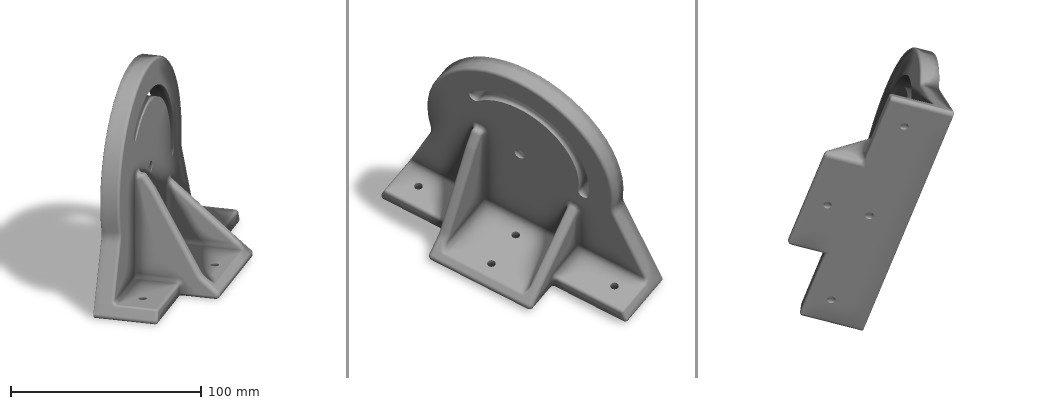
import cadquery as cq
import math

plate_thickness = 10.5
flange_depth = 35.0
flange_thickness = 8.0
pivot_y = -5.9
pivot_z = 60.0
disc_radius = 58.8
base_length = 155.1
flank_left_angle = 27.3
flank_right_angle = 22.1
waist_radius = 10.0
foot_radius = 2.0
plate_inner_radius = 1.9
bracket_round = 1.5
plate_back_round = 0.6

tray_depth = 56.1
tray_width = 65.1
tray_center_y = -1.4
wall_thickness = 6.2
floor_thickness = 6.7
rim_angle = 39.5
rim_front_height = 3.7
tray_round = 2.3

gusset_height = 66.2
gusset_crest_x = 14.7
gusset_knee_x = 20.3
gusset_knee_z = 58.5
gusset_toe_x = 46.0
gusset_toe_radius = 10.0

slot_radius = 40.5
slot_width = 6.4
slot_start_angle = 45.0
slot_end_angle = 188.0
pivot_hole_diameter = 6.4
screw_hole_diameter = 4.5
flange_hole_x = 22.5
flange_hole_y = 61.7
tray_hole_x = 21.1
tray_hole_pitch = 23.3

tray_left_y = tray_center_y + tray_width / 2
tray_right_y = tray_center_y - tray_width / 2
rim_slope = math.tan(math.radians(rim_angle))
rim_end_x = tray_depth - (floor_thickness - rim_front_height) / rim_slope
overlap_x = plate_thickness / 2
tray_left_inner_y = tray_left_y - wall_thickness
tray_right_inner_y = tray_right_y + wall_thickness


def edge_near(solid, point):
    """The edge of a solid whose middle lies nearest to a point."""
    return solid.edges(cq.NearestToPointSelector(point))


def foot_corner(flank_angle):
    """Distance of the sharp foot corner from y = 0, before rounding brings it to the base length."""
    half_corner = math.radians(90 - flank_angle) / 2
    return base_length / 2 + foot_radius * (1 / math.tan(half_corner) - 1)


def flank_end(foot_y, lean):
    """Point (y, z) where a flank rising from its foot first meets the disc."""
    along_y = math.sin(lean)
    along_z = math.cos(lean)
    nearest = (pivot_y - foot_y) * along_y + pivot_z * along_z
    offset = (pivot_y - foot_y) * along_z - pivot_z * along_y
    reach = nearest - math.sqrt(disc_radius ** 2 - offset ** 2)
    return (foot_y + reach * along_y, reach * along_z)


def rim_height(x):
    """Height of the sloping tray rim at a given x."""
    return rim_front_height + (tray_depth - x) * rim_slope


def on_slot(radius, angle):
    """Point (y, z) about the pivot; angles run from -Y over the top to +Y."""
    turn = math.radians(angle)
    return (pivot_y - radius * math.cos(turn), pivot_z + radius * math.sin(turn))


def make_slot():
    """Curved slot about the pivot, with round ends."""
    inner_radius = slot_radius - slot_width / 2
    outer_radius = slot_radius + slot_width / 2
    end_reach = math.degrees(slot_width / 2 / slot_radius)
    middle_angle = (slot_start_angle + slot_end_angle) / 2
    return (
        cq.Workplane("YZ")
        .moveTo(*on_slot(outer_radius, slot_start_angle))
        .threePointArc(on_slot(outer_radius, middle_angle), on_slot(outer_radius, slot_end_angle))
        .threePointArc(
            on_slot(slot_radius, slot_end_angle + end_reach), on_slot(inner_radius, slot_end_angle)
        )
        .threePointArc(on_slot(inner_radius, middle_angle), on_slot(inner_radius, slot_start_angle))
        .threePointArc(
            on_slot(slot_radius, slot_start_angle - end_reach),
            on_slot(outer_radius, slot_start_angle),
        )
        .close()
        .extrude(plate_thickness)
    )


def make_bracket():
    """Slotted plate and its flange, both bounded by the same outline, with rounded edges."""
    foot_left_y = foot_corner(flank_left_angle)
    foot_right_y = -foot_corner(flank_right_angle)
    left_end = flank_end(foot_left_y, -math.radians(flank_left_angle))
    right_end = flank_end(foot_right_y, math.radians(flank_right_angle))
    disc_top = (pivot_y, pivot_z + disc_radius)
    bracket = (
        cq.Workplane("YZ")
        .moveTo(foot_left_y, 0)
        .lineTo(*left_end)
        .threePointArc(disc_top, right_end)
        .lineTo(foot_right_y, 0)
        .close()
        .extrude(flange_depth)
    )
    bracket = bracket.edges("|X").edges("<Z").fillet(foot_radius)
    for y, z in (left_end, right_end):
        bracket = edge_near(bracket, (flange_depth / 2, y, z)).fillet(waist_radius)

    clearance = cq.Workplane("XY").box(
        flange_depth, 4 * disc_radius, 4 * disc_radius, centered=(False, True, False)
    )
    bracket = bracket.cut(clearance.translate((plate_thickness, 0, flange_thickness)))

    bracket = bracket.cut(make_slot())
    bracket = bracket.faces("<X").edges().fillet(plate_back_round)
    inner_corner = (plate_thickness, 0, flange_thickness)
    bracket = edge_near(bracket, inner_corner).fillet(plate_inner_radius)
    disc_edge = edge_near(bracket, (plate_thickness, *disc_top))
    return disc_edge.add(bracket.faces(">X").edges()).fillet(bracket_round)


def make_pocket():
    """Space between the tray walls, in front of the plate and above the tray floor."""
    pocket = cq.Workplane("XY").box(
        tray_depth, tray_width - 2 * wall_thickness, gusset_height, centered=(False, True, False)
    )
    return pocket.translate((plate_thickness, tray_center_y, floor_thickness))


def make_tray():
    """Tray with a sloping rim and the raised gusset wall; it starts inside the plate."""
    tray = (
        cq.Workplane("XZ", origin=(0, tray_left_y, 0))
        .moveTo(overlap_x, 0)
        .lineTo(tray_depth, 0)
        .lineTo(tray_depth, rim_front_height)
        .lineTo(overlap_x, rim_height(overlap_x))
        .close()
        .extrude(tray_width)
    )
    gusset = (
        cq.Workplane("XZ", origin=(0, tray_right_inner_y, 0))
        .moveTo(overlap_x, 0)
        .lineTo(gusset_toe_x, 0)
        .lineTo(gusset_toe_x, rim_height(gusset_toe_x))
        .lineTo(gusset_knee_x, gusset_knee_z)
        .lineTo(gusset_crest_x, gusset_height)
        .lineTo(overlap_x, gusset_height)
        .close()
        .extrude(wall_thickness)
    )
    tray = tray.union(gusset).cut(make_pocket().translate((overlap_x - plate_thickness, 0, 0)))

    tray = tray.edges("|Z").edges(">X").fillet(tray_round)
    gusset_middle_y = tray_right_y + wall_thickness / 2
    gusset_bends = (
        (gusset_toe_x, rim_height(gusset_toe_x), gusset_toe_radius),
        (gusset_crest_x, gusset_height, tray_round),
    )
    for x, z, radius in gusset_bends:
        tray = edge_near(tray, (x, gusset_middle_y, z)).fillet(radius)

    for y in (tray_left_inner_y, tray_right_inner_y):
        tray = edge_near(tray, (tray_depth / 2, y, floor_thickness)).fillet(tray_round)
    rim = edge_near(tray, (tray_depth, tray_center_y, rim_front_height))
    rim = rim.add(edge_near(tray, (rim_end_x, tray_center_y, floor_thickness)))
    upper_x = (gusset_crest_x + gusset_knee_x) / 2
    upper_z = (gusset_height + gusset_knee_z) / 2
    for y in (tray_right_inner_y, tray_right_y):
        rim = rim.add(edge_near(tray, (upper_x, y, upper_z)))
    tray = rim.fillet(tray_round)
    return tray.edges("<Z").edges("not(<X)").fillet(tray_round)


def join(bracket, tray):
    """Bracket and tray as one solid, with a fillet all along the seam between them."""
    body = bracket.cut(make_pocket()).union(tray)
    seam = edge_near(body, (plate_thickness, tray_center_y, floor_thickness))
    for y in (tray_left_y, tray_right_y):
        seam = seam.add(edge_near(body, (flange_depth / 2, y, flange_thickness)))
    return seam.fillet(tray_round)


def make_pivot_hole():
    """Round hole through the plate at the centre of the disc."""
    hole = cq.Workplane("YZ").center(pivot_y, pivot_z).circle(pivot_hole_diameter / 2)
    return hole.extrude(plate_thickness)


def make_screw_holes():
    """Two holes through the flange and two through the tray floor."""
    places = [
        (flange_hole_x, flange_hole_y),
        (flange_hole_x, -flange_hole_y),
        (tray_hole_x, tray_center_y),
        (tray_hole_x + tray_hole_pitch, tray_center_y),
    ]
    holes = cq.Workplane("XY").pushPoints(places).circle(screw_hole_diameter / 2)
    return holes.extrude(flange_thickness)


result = join(make_bracket(), make_tray())
result = result.cut(make_pivot_hole()).cut(make_screw_holes())